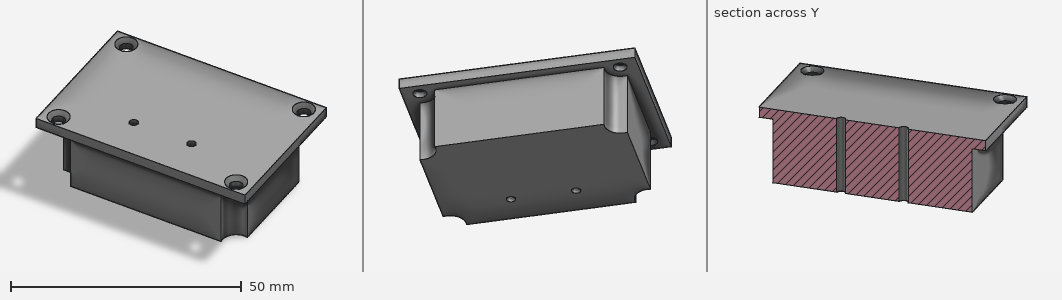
import cadquery as cq

plate_length = 52.5
plate_width = 35.0
plate_thickness = 2.5

block_length = 46.2
block_width = 30.5
block_depth = 15.0

screw_spacing_x = 44.6
screw_spacing_y = 29.1
screw_hole_diameter = 3.0
countersink_diameter = 5.0
countersink_angle = 90.0
screw_relief_radius = 3.5

small_hole_diameter = 2.0
small_hole_spacing = 14.5
small_hole_y = -8.0

screw_points = [
    (side_x * screw_spacing_x / 2, side_y * screw_spacing_y / 2)
    for side_x in (-1, 1)
    for side_y in (-1, 1)
]
small_hole_points = [(side * small_hole_spacing / 2, small_hole_y) for side in (-1, 1)]


def make_plate():
    """Rectangular plate on top of the block, with a countersunk hole near each corner."""
    plate = cq.Workplane("XY").box(plate_length, plate_width, plate_thickness, centered=(True, True, False))
    return (
        plate.faces(">Z")
        .workplane()
        .pushPoints(screw_points)
        .cskHole(screw_hole_diameter, countersink_diameter, countersink_angle)
    )


def make_block():
    """Block hanging below the plate, its corners scooped out around the screws."""
    block = cq.Workplane("XY").rect(block_length, block_width).extrude(-block_depth)
    reliefs = cq.Workplane("XY").pushPoints(screw_points).circle(screw_relief_radius).extrude(-block_depth)
    return block.cut(reliefs)


def make_small_holes():
    """Cutters for the two small holes, running the full height of the part."""
    full_height = plate_thickness + block_depth
    return (
        cq.Workplane("XY", origin=(0, 0, -block_depth))
        .pushPoints(small_hole_points)
        .circle(small_hole_diameter / 2)
        .extrude(full_height)
    )


result = make_plate().union(make_block()).cut(make_small_holes())